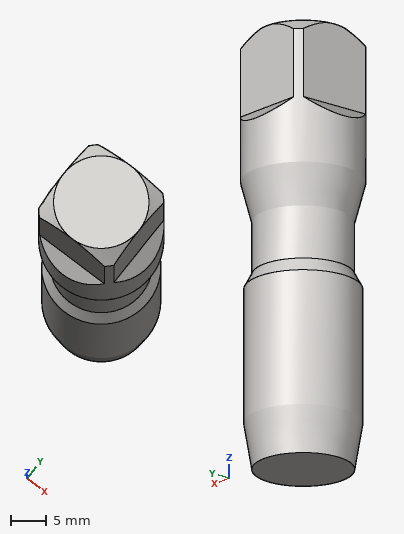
import cadquery as cq

total_length = 65.0
nose_height = 6.85
sleeve_top = 27.0
neck_bottom = 29.15
neck_top = 37.0
collar_bottom = 43.0
square_bottom = 52.8

sleeve_radius = 8.45
nose_radius = 7.3

neck_radius = nose_radius
collar_radius = 8.89
square_width = 13.5
square_half = square_width / 2
flat_depth = collar_radius - square_half
top_chamfer_height = 2.0


def make_sleeve():
    profile = (
        cq.Workplane("XZ")
        .moveTo(0, 0)
        .lineTo(nose_radius, 0)
        .lineTo(sleeve_radius, nose_height)
        .lineTo(sleeve_radius, sleeve_top)
        .lineTo(0, sleeve_top)
        .close()
    )
    return profile.revolve(360, (0, 0, 0), (0, 1, 0))


def make_driver_blank():
    """Round driver; the top cone narrows to the circle inscribed in the square."""
    profile = (
        cq.Workplane("XZ")
        .moveTo(0, sleeve_top)
        .lineTo(sleeve_radius, sleeve_top)
        .lineTo(neck_radius, neck_bottom)
        .lineTo(neck_radius, neck_top)
        .lineTo(collar_radius, collar_bottom)
        .lineTo(collar_radius, total_length - top_chamfer_height)
        .lineTo(square_half, total_length)
        .lineTo(0, total_length)
        .close()
    )
    return profile.revolve(360, (0, 0, 0), (0, 1, 0))


def make_flat_cutter():
    """Wedge-footed cutter for the flat on the +X side; its foot slopes down at 45 degrees."""
    clearance = 1.0
    outer = collar_radius + clearance
    profile = (
        cq.Workplane("XZ")
        .moveTo(square_half, square_bottom)
        .lineTo(outer, square_bottom - flat_depth - clearance)
        .lineTo(outer, total_length + clearance)
        .lineTo(square_half, total_length + clearance)
        .close()
    )
    return profile.extrude(outer, both=True)


def make_driver():
    driver = make_driver_blank()
    flat_cutter = make_flat_cutter()
    flat_count = 4
    for index in range(flat_count):
        angle = index * 360 / flat_count
        driver = driver.cut(flat_cutter.rotate((0, 0, 0), (0, 0, 1), angle))
    return driver


sleeve = make_sleeve()
driver = make_driver()

result = cq.Compound.makeCompound([sleeve.val(), *driver.vals()])